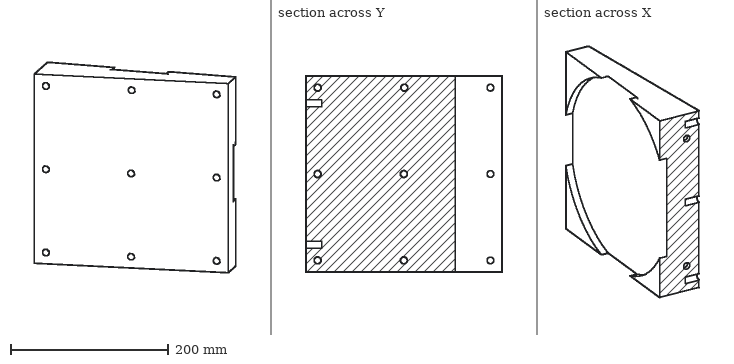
import cadquery as cq
import math

side = 250.0
thick_end = 60.0
slope_angle = 6.0
thin_end = thick_end - side * math.tan(math.radians(slope_angle))

recess_diameter = 260.0
recess_depth = 10.0

hole_diameter = 8.5
hole_depth = 20.0
slope_hole_inset = 15.0
end_hole_inset = 35.0
end_hole_from_back = 40.0

middle_hole_x = -0.2
top_middle_hole_x = 0.5

half = side / 2
back_y = thick_end / 2
front_y = back_y - thick_end


def make_wedge():
    """Tapered block, thick at -X and thin at +X."""
    return (
        cq.Workplane("XY", origin=(0, 0, -half))
        .moveTo(-half, back_y)
        .lineTo(half, back_y)
        .lineTo(half, back_y - thin_end)
        .lineTo(-half, front_y)
        .close()
        .extrude(side)
    )


def make_recess():
    """Shallow disc cut from the back, leaving a raised pad in each corner."""
    return (
        cq.Workplane("XZ", origin=(0, back_y, 0))
        .circle(recess_diameter / 2)
        .extrude(recess_depth)
    )


def make_slope_holes(wedge):
    """3 x 3 grid of holes parallel to Y, with floors parallel to the sloped face."""
    edge = half - slope_hole_inset
    points = []
    for z in (-edge, 0, edge):
        middle_x = top_middle_hole_x if z == edge else middle_hole_x
        points += [(-edge, z), (middle_x, z), (edge, z)]
    bores = (
        cq.Workplane("XZ", origin=(0, front_y, 0))
        .pushPoints(points)
        .circle(hole_diameter / 2)
        .extrude(-thick_end)
    )
    return bores.cut(wedge.translate((0, hole_depth, 0)))


def make_end_holes():
    """Two holes parallel to X in the thick end."""
    hole_y = back_y - end_hole_from_back
    hole_z = half - end_hole_inset
    return (
        cq.Workplane("YZ", origin=(-half, 0, 0))
        .pushPoints([(hole_y, -hole_z), (hole_y, hole_z)])
        .circle(hole_diameter / 2)
        .extrude(hole_depth)
    )


wedge = make_wedge()
result = wedge.cut(make_recess()).cut(make_slope_holes(wedge)).cut(make_end_holes())